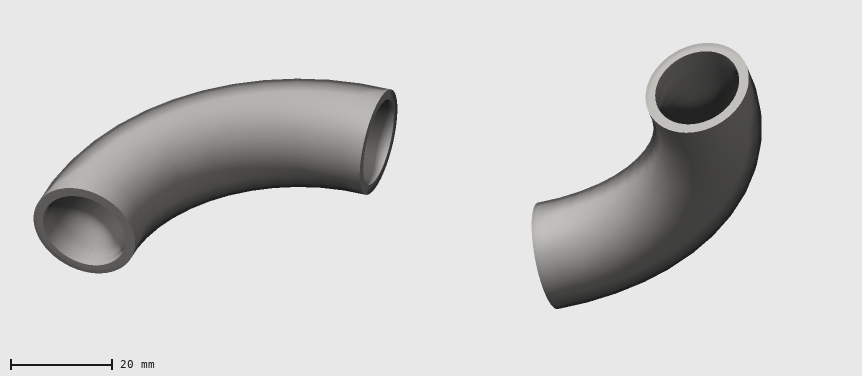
import cadquery as cq

outer_size = 55.65
outer_diameter = 21.3
wall_thickness = 2.0
bend_angle = 90.0

inner_diameter = outer_diameter - 2 * wall_thickness
bend_radius = outer_size - outer_diameter / 2


def tube_elbow():
    """Ring section swept about a vertical axis through the origin.

    One open end faces -Y, the other faces +X.
    """
    ring = (
        cq.Workplane("XZ")
        .center(-bend_radius, 0)
        .circle(outer_diameter / 2)
        .circle(inner_diameter / 2)
    )
    axis_start = (bend_radius, 0)
    axis_end = (bend_radius, -1)
    return ring.revolve(bend_angle, axis_start, axis_end)


result = tube_elbow()